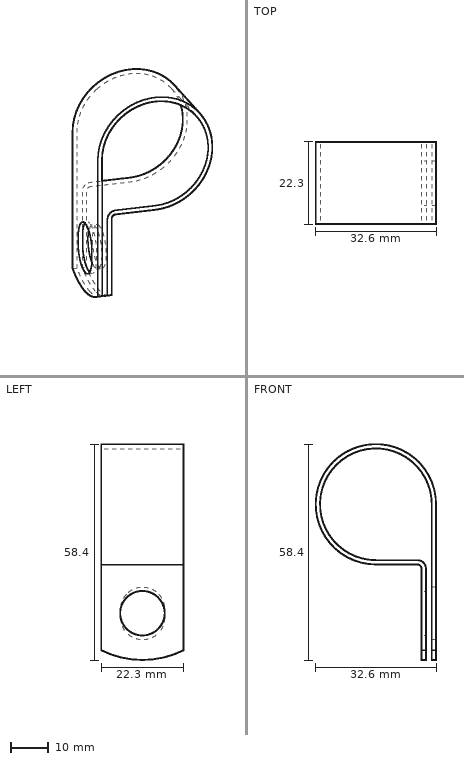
import cadquery as cq

total_height = 58.35
width = 22.25
loop_radius = 16.3
thickness = 1.2
leg_gap = 1.5
bend_inner_radius = 1.1
hole_diameter = 11.95
slot_length = 14.2
hole_height = 12.65
end_sagitta = 2.6

bore_radius = loop_radius - thickness
bend_outer_radius = bend_inner_radius + thickness
bottom_z = loop_radius - total_height
short_leg_right = bore_radius - leg_gap
short_leg_left = short_leg_right - thickness
bend_x = short_leg_right - bend_outer_radius
bend_z = -bore_radius - bend_outer_radius
half_width = width / 2
side_z = bottom_z + end_sagitta


def make_strip():
    """Bent strip: long leg, three-quarter loop, flat shelf, bend and short leg."""
    return (
        cq.Workplane("XZ", origin=(0, half_width, 0))
        .moveTo(loop_radius, bottom_z)
        .lineTo(loop_radius, 0)
        .tangentArcPoint((0, -loop_radius), relative=False)
        .lineTo(bend_x, -loop_radius)
        .tangentArcPoint((short_leg_left, bend_z), relative=False)
        .lineTo(short_leg_left, bottom_z)
        .lineTo(short_leg_right, bottom_z)
        .lineTo(short_leg_right, bend_z)
        .tangentArcPoint((bend_x, -bore_radius), relative=False)
        .lineTo(0, -bore_radius)
        .tangentArcPoint((bore_radius, 0), relative=False)
        .lineTo(bore_radius, bottom_z)
        .close()
        .extrude(width)
    )


def make_end_envelope():
    """Block with a convex lower end that trims both legs to the same arc."""
    return (
        cq.Workplane("YZ")
        .moveTo(-half_width, loop_radius)
        .lineTo(-half_width, side_z)
        .threePointArc((0, bottom_z), (half_width, side_z))
        .lineTo(half_width, loop_radius)
        .close()
        .extrude(loop_radius, both=True)
    )


def hole_plane(start_x):
    """Plane across X, centred on the bolt axis."""
    return cq.Workplane("YZ", origin=(start_x, 0, bottom_z + hole_height))


def make_short_leg_hole():
    """Round hole through the short leg only."""
    return hole_plane(short_leg_left).circle(hole_diameter / 2).extrude(thickness)


def make_long_leg_slot():
    """Upright slot through the long leg only."""
    return hole_plane(bore_radius).slot2D(slot_length, hole_diameter, 90).extrude(thickness)


result = (
    make_strip()
    .intersect(make_end_envelope())
    .cut(make_short_leg_hole())
    .cut(make_long_leg_slot())
)